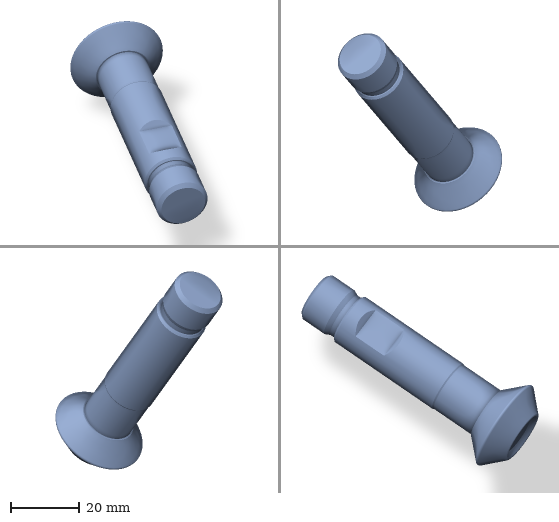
import cadquery as cq
import math

total_length = 75.0

head_width = 12.7
head_diameter = 28.2
head_end_diameter = 16.5
rim_radius = 0.6

lip_crest_diameter = 15.6
lip_outer_drop = 0.15
lip_inner_drop = 0.3

dish_diameter = 14.4
dish_floor_diameter = 12.15
dish_wall_depth = 1.4
dish_cone_depth = 0.45

neck_diameter = 15.5
body_diameter = 16.0
body_start = 26.9
body_end = 62.8
body_front_chamfer = 0.45
body_rear_chamfer = 0.6
groove_diameter = 14.0
groove_end = 64.5
tail_diameter = 15.5
tail_start = 66.1
tail_chamfer = 1.1

flat_height = 6.2
flat_start = 46.4
flat_end = 56.65


def revolve_about_x(outline):
    """Turn an (x, radius) outline about the X axis."""
    return outline.close().revolve(360, (0, 0, 0), (1, 0, 0))


def make_head():
    end_radius = head_end_diameter / 2
    middle = head_width / 2
    top_radius = head_diameter / 2
    tangent_offset = rim_radius * math.sin(math.pi / 4)
    tangent_radius = top_radius - rim_radius + tangent_offset
    outline = (
        cq.Workplane("XY")
        .moveTo(dish_wall_depth + dish_cone_depth, 0)
        .lineTo(dish_wall_depth, dish_floor_diameter / 2)
        .lineTo(lip_inner_drop, dish_diameter / 2)
        .threePointArc((0, lip_crest_diameter / 2), (lip_outer_drop, end_radius))
        .lineTo(middle - tangent_offset, tangent_radius)
        .threePointArc((middle, top_radius), (middle + tangent_offset, tangent_radius))
        .lineTo(head_width, end_radius)
        .lineTo(head_width, 0)
    )
    return revolve_about_x(outline)


def make_turned_shank():
    neck_radius = neck_diameter / 2
    body_radius = body_diameter / 2
    groove_radius = groove_diameter / 2
    tail_radius = tail_diameter / 2
    outline = (
        cq.Workplane("XY")
        .moveTo(head_width, 0)
        .lineTo(head_width, neck_radius)
        .lineTo(body_start - body_front_chamfer, neck_radius)
        .lineTo(body_start, body_radius)
        .lineTo(body_end - body_rear_chamfer, body_radius)
        .lineTo(body_end, body_radius - body_rear_chamfer)
        .lineTo(body_end, groove_radius)
        .lineTo(groove_end, groove_radius)
        .lineTo(tail_start, tail_radius)
        .lineTo(total_length - tail_chamfer, tail_radius)
        .lineTo(total_length, tail_radius - tail_chamfer)
        .lineTo(total_length, 0)
    )
    return revolve_about_x(outline)


def make_flat_cutter():
    top = body_diameter / 2
    rise = top - flat_height
    return (
        cq.Workplane("XZ")
        .moveTo(flat_start, flat_height)
        .lineTo(flat_end, flat_height)
        .lineTo(flat_end + rise, top)
        .lineTo(flat_start - rise, top)
        .close()
        .extrude(body_diameter / 2, both=True)
    )


head = make_head()
shank = make_turned_shank().cut(make_flat_cutter())

result = cq.Compound.makeCompound([head.val(), shank.val()])